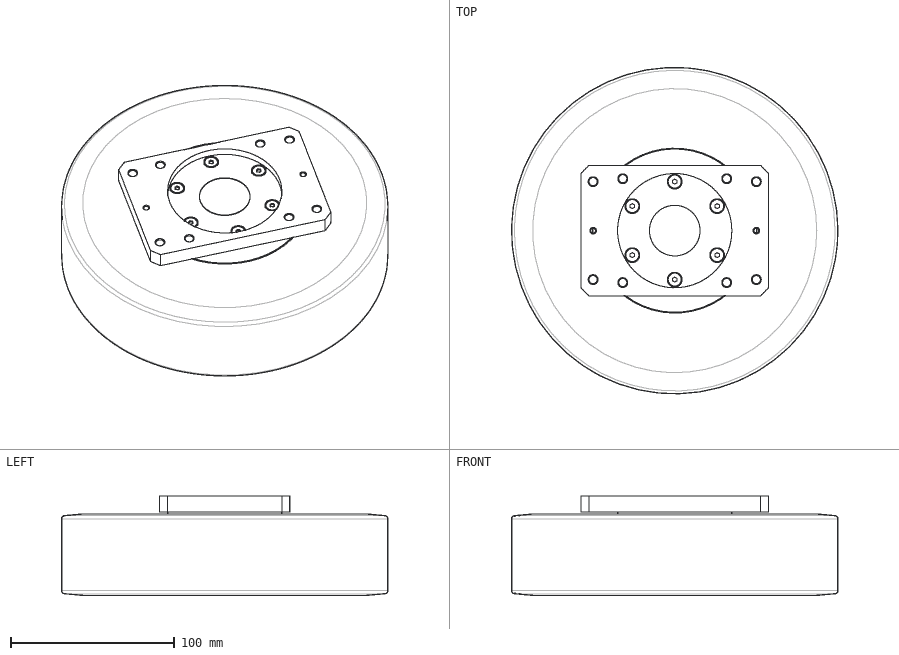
import cadquery as cq
import math

body_diameter = 200.0
body_height = 50.0
flat_diameter = 174.0
rim_drop = 1.2
rim_fillet = 2.0

hub_diameter = 100.0
groove_width = 0.5
groove_depth = 1.0

flange_diameter = 70.0
plate_gap = 1.0
pocket_depth = 5.0
center_recess_diameter = 31.0
center_recess_depth = 0.5

plate_length = 115.0
plate_width = 80.0
plate_thickness = 10.0
plate_corner_chamfer = 5.0
plate_bottom = body_height + plate_gap
plate_top = plate_bottom + plate_thickness
flange_top = plate_top - pocket_depth

hole_spacing_x = 100.0
hole_spacing_y = 60.0
hole_diameter = 5.0
hole_mouth_diameter = 6.0
diagonal_hole_circle = 90.0
dowel_diameter = 3.0
dowel_mouth_diameter = 4.0

screw_count = 6
screw_circle = 60.0
screw_head_diameter = 8.0
screw_clearance_diameter = 9.0
screw_clearance_depth = 1.0
socket_corner_diameter = 3.0
socket_depth = 1.0


def disc(diameter, bottom, top):
    return cq.Workplane("XY").workplane(offset=bottom).circle(diameter / 2).extrude(top - bottom)


def ring(outer_diameter, inner_diameter, bottom, top):
    return disc(outer_diameter, bottom, top).cut(disc(inner_diameter, bottom, top))


def make_body():
    radius = body_diameter / 2
    flat_radius = flat_diameter / 2
    profile = [
        (0, 0),
        (flat_radius, 0),
        (radius, rim_drop),
        (radius, body_height - rim_drop),
        (flat_radius, body_height),
        (0, body_height),
    ]
    body = cq.Workplane("XZ").polyline(profile).close().revolve(360, (0, 0, 0), (0, 1, 0))
    body = body.edges(cq.selectors.RadiusNthSelector(-1)).fillet(rim_fillet)
    groove_diameter = hub_diameter + 2 * groove_width
    return body.cut(ring(groove_diameter, hub_diameter, body_height - groove_depth, body_height))


def chamfered_holes(points, diameter, mouth_diameter):
    """Cutters for holes through the plate, each with a 45 degree chamfered mouth."""
    chamfer = (mouth_diameter - diameter) / 2
    mouth = (
        cq.Workplane("XY").workplane(offset=plate_top)
        .circle(mouth_diameter / 2).extrude(-chamfer, taper=45)
    )
    cutter = disc(diameter, plate_bottom, plate_top).union(mouth).val()
    return cq.Workplane("XY").pushPoints(points).eachpoint(lambda place: cutter.moved(place))


def corner_points(x, y):
    return [(x, y), (-x, y), (-x, -y), (x, -y)]


def make_plate():
    plate = (
        cq.Workplane("XY").workplane(offset=plate_bottom)
        .rect(plate_length, plate_width).extrude(plate_thickness)
        .edges("|Z").chamfer(plate_corner_chamfer)
    )
    plate = plate.cut(disc(flange_diameter, flange_top, plate_top))
    x = hole_spacing_x / 2
    y = hole_spacing_y / 2
    diagonal = diagonal_hole_circle / 2 * math.cos(math.radians(45))
    bolt_points = corner_points(x, y) + corner_points(diagonal, diagonal)
    plate = plate.cut(chamfered_holes(bolt_points, hole_diameter, hole_mouth_diameter))
    return plate.cut(chamfered_holes([(-x, 0), (x, 0)], dowel_diameter, dowel_mouth_diameter))


def screw_cutters():
    """Clearance ring around each screw head, and its hexagon socket."""
    clearance = ring(
        screw_clearance_diameter, screw_head_diameter, flange_top - screw_clearance_depth, flange_top
    )
    socket = (
        cq.Workplane("XY").workplane(offset=flange_top)
        .polygon(6, socket_corner_diameter).extrude(-socket_depth)
    )
    cutter = clearance.union(socket).val()
    return (
        cq.Workplane("XY").polarArray(screw_circle / 2, 90, 360, screw_count)
        .eachpoint(lambda place: cutter.moved(place))
    )


flange = disc(flange_diameter, body_height, plate_bottom)
center_recess = disc(center_recess_diameter, flange_top - center_recess_depth, flange_top)

result = make_body().union(flange).union(make_plate())
result = result.cut(screw_cutters()).cut(center_recess)